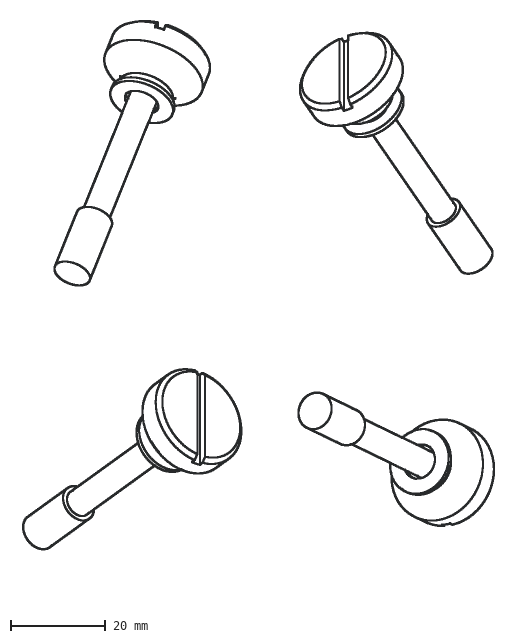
import cadquery as cq
import math

total_length = 63.3

head_diameter = 22.0
head_radius = head_diameter / 2
rim_length = 6.0
rim_chamfer = 1.0
neck_radius = 6.0
flare_radius = head_radius - neck_radius
slot_width = 2.0
slot_depth = 2.0

shank_radius = 3.0
pilot_radius = 4.0
pilot_length = 15.0
tip_angle = 120.0
tip_length = pilot_radius / math.tan(math.radians(tip_angle / 2))

washer_outer_radius = 7.0
washer_hole_radius = 3.75
washer_thickness = 1.0
washer_gap = 2.0

tip_y = -total_length / 2
pilot_start_y = tip_y + tip_length
pilot_end_y = pilot_start_y + pilot_length
head_top_y = total_length / 2
rim_bottom_y = head_top_y - rim_length
neck_bottom_y = rim_bottom_y - flare_radius
washer_top_y = neck_bottom_y - washer_gap


def make_screw():
    """Turned thumb screw with a flared, slotted head and a pointed pilot."""
    diagonal_offset = flare_radius * math.sin(math.radians(45))
    flare_middle = (head_radius - diagonal_offset, neck_bottom_y + diagonal_offset)

    profile = (
        cq.Workplane("XY")
        .moveTo(0, tip_y)
        .lineTo(pilot_radius, pilot_start_y)
        .lineTo(pilot_radius, pilot_end_y)
        .lineTo(shank_radius, pilot_end_y)
        .lineTo(shank_radius, neck_bottom_y)
        .lineTo(neck_radius, neck_bottom_y)
        .threePointArc(flare_middle, (head_radius, rim_bottom_y))
        .lineTo(head_radius, head_top_y - rim_chamfer)
        .lineTo(head_radius - rim_chamfer, head_top_y)
        .lineTo(0, head_top_y)
        .close()
    )
    body = profile.revolve(360, (0, 0, 0), (0, 1, 0))

    slot = (
        cq.Workplane("XY")
        .box(slot_width, slot_depth, head_diameter)
        .translate((0, head_top_y - slot_depth / 2, 0))
    )
    return body.cut(slot)


def make_washer():
    """Flat ring around the shank, extruded towards the tip."""
    return (
        cq.Workplane("XZ", origin=(0, washer_top_y, 0))
        .circle(washer_outer_radius)
        .circle(washer_hole_radius)
        .extrude(washer_thickness)
    )


screw = make_screw()
washer = make_washer()

result = cq.Compound.makeCompound([screw.val(), washer.val()])